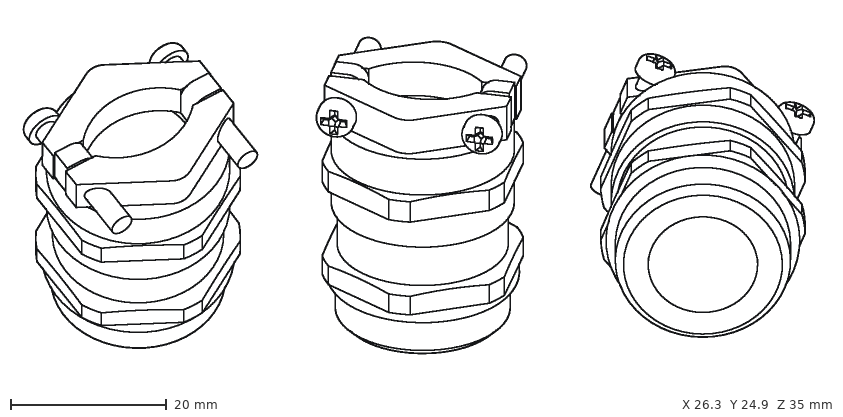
import cadquery as cq
import math

TOTAL_HEIGHT = 35.0
BORE_RADIUS = 7.05
HEX_HALF_ANGLE = math.radians(30)

ENTRY_RADIUS = 11.27
ENTRY_CHAMFER = 1.05
RING_BOTTOM = 5.42
RING_TUBE_RADIUS = 0.95
RING_OUTER_RADIUS = 12.45

NUT_CORNER_RADIUS = 13.15
NUT_ACROSS_FLATS = 24.08
NUT_TOP_ANGLE = 12.0
NECK_RADIUS = 11.02
CAP_RADIUS = 11.8
LOWER_NUT_BOTTOM = RING_BOTTOM + 2 * RING_TUBE_RADIUS
LOWER_NUT_TOP = 10.5
CAP_BOTTOM = 16.6
UPPER_NUT_BOTTOM = 21.0
UPPER_NUT_TOP = 24.3
CAP_TOP = 29.58

CLAMP_TOP = 34.5
CLAMP_HALF_WIDTH = 12.05
CLAMP_FLAT_HALF = 4.02
CLAMP_TIP_FILLET = 2.8
OPENING_HALF_X = 4.75
TAB_WIDTH = 2.95
TAB_INNER_Y = 7.45
TAB_OUTER_Y = CAP_RADIUS
TAB_ROUND = 2.1

SCREW_Y = 9.62
SCREW_Z = 32.05
SCREW_END_X = 11.1
SHANK_RADIUS = 1.5
HEAD_FACE_X = -9.05
HEAD_HEIGHT = 2.1
HEAD_RADIUS = 2.52
HEAD_ROUND = 1.0

ARM_HALF_LENGTH = 1.75
ARM_HALF_WIDTH = 0.52
ARM_DEPTH = 0.52
ARM_END_SLOPE = 0.35
SOCKET_DEPTH = 1.05
SOCKET_TOP_HALF = 1.15
SOCKET_FLOOR_HALF = 0.5


def cylinder(radius, bottom, top):
    return cq.Workplane("XY").workplane(offset=bottom).circle(radius).extrude(top - bottom)


def hex_collar(neck_radius, bottom, top):
    """Hexagon with rounded corners, its top sloping down from the neck as a cone."""
    drop = (NUT_CORNER_RADIUS - neck_radius) * math.tan(math.radians(NUT_TOP_ANGLE))
    cone = (
        cq.Workplane("XZ")
        .moveTo(0, bottom)
        .lineTo(NUT_CORNER_RADIUS, bottom)
        .lineTo(NUT_CORNER_RADIUS, top - drop)
        .lineTo(neck_radius, top)
        .lineTo(0, top)
        .close()
        .revolve(360, (0, 0, 0), (0, 1, 0))
    )
    corner_diameter = NUT_ACROSS_FLATS / math.cos(HEX_HALF_ANGLE)
    hexagon = (
        cq.Workplane("XY")
        .workplane(offset=bottom)
        .polygon(6, corner_diameter)
        .extrude(top - bottom)
    )
    return cone.intersect(hexagon)


def sealing_ring():
    centre = cq.Vector(0, 0, RING_BOTTOM + RING_TUBE_RADIUS)
    torus = cq.Solid.makeTorus(RING_OUTER_RADIUS - RING_TUBE_RADIUS, RING_TUBE_RADIUS, centre)
    return cq.Workplane("XY").newObject([torus])


def gland_body():
    entry = cylinder(ENTRY_RADIUS, 0, LOWER_NUT_BOTTOM).faces("<Z").chamfer(ENTRY_CHAMFER)
    return (
        entry.union(sealing_ring())
        .union(hex_collar(NECK_RADIUS, LOWER_NUT_BOTTOM, LOWER_NUT_TOP))
        .union(cylinder(NECK_RADIUS, LOWER_NUT_TOP, CAP_BOTTOM))
        .union(cylinder(CAP_RADIUS, CAP_BOTTOM, CAP_TOP))
        .union(hex_collar(CAP_RADIUS, UPPER_NUT_BOTTOM, UPPER_NUT_TOP))
        .cut(cylinder(BORE_RADIUS, 0, CAP_TOP))
    )


def clamp():
    """Hexagonal block with a lens-shaped opening and a gap at each end for the tabs."""
    tip_x = CLAMP_FLAT_HALF + CLAMP_HALF_WIDTH * math.tan(HEX_HALF_ANGLE)
    height = CLAMP_TOP - CAP_TOP
    base = cq.Workplane("XY").workplane(offset=CAP_TOP)
    block = (
        base.polyline([
            (tip_x, 0),
            (CLAMP_FLAT_HALF, CLAMP_HALF_WIDTH),
            (-CLAMP_FLAT_HALF, CLAMP_HALF_WIDTH),
            (-tip_x, 0),
            (-CLAMP_FLAT_HALF, -CLAMP_HALF_WIDTH),
            (CLAMP_FLAT_HALF, -CLAMP_HALF_WIDTH),
        ])
        .close()
        .extrude(height)
        .edges("|Z and (<X or >X)")
        .fillet(CLAMP_TIP_FILLET)
    )
    half_tab = TAB_WIDTH / 2
    opening = (
        base.moveTo(half_tab, -TAB_INNER_Y)
        .threePointArc((OPENING_HALF_X, 0), (half_tab, TAB_INNER_Y))
        .lineTo(-half_tab, TAB_INNER_Y)
        .threePointArc((-OPENING_HALF_X, 0), (-half_tab, -TAB_INNER_Y))
        .close()
        .extrude(height)
    )
    gap = base.rect(TAB_WIDTH, 2 * CLAMP_HALF_WIDTH).extrude(height)
    return block.cut(opening).cut(gap)


def tab(side):
    """Upright tab in the clamp gap, rounded over toward the opening; side is +1 or -1."""
    length = TAB_OUTER_Y - TAB_INNER_Y
    inner_top_edge = "|X and >Z and <Y" if side > 0 else "|X and >Z and >Y"
    return (
        cq.Workplane("XY")
        .box(TAB_WIDTH, length, TOTAL_HEIGHT - CAP_TOP, centered=(True, True, False))
        .edges(inner_top_edge)
        .fillet(TAB_ROUND)
        .translate((0, side * (TAB_INNER_Y + length / 2), CAP_TOP))
    )


def cross_recess():
    """Phillips recess sunk along +X from the origin."""
    arm = (
        cq.Workplane("XZ")
        .polyline([(0, -ARM_HALF_WIDTH), (ARM_DEPTH, 0), (0, ARM_HALF_WIDTH)])
        .close()
        .extrude(ARM_HALF_LENGTH, both=True)
    )
    ridge_half = ARM_HALF_LENGTH - ARM_END_SLOPE
    sloped_ends = (
        cq.Workplane("XY")
        .polyline([
            (0, -ARM_HALF_LENGTH),
            (ARM_DEPTH, -ridge_half),
            (ARM_DEPTH, ridge_half),
            (0, ARM_HALF_LENGTH),
        ])
        .close()
        .extrude(ARM_HALF_WIDTH, both=True)
    )
    arm = arm.intersect(sloped_ends)
    socket = (
        cq.Workplane("YZ")
        .polygon(4, 2 * SOCKET_TOP_HALF)
        .workplane(offset=SOCKET_DEPTH)
        .polygon(4, 2 * SOCKET_FLOOR_HALF)
        .loft()
    )
    return arm.union(arm.rotate((0, 0, 0), (1, 0, 0), 90)).union(socket)


def screw(side):
    """Pan-head screw through the clamp; side is +1 or -1."""
    head = (
        cq.Workplane("YZ")
        .circle(HEAD_RADIUS)
        .extrude(HEAD_HEIGHT)
        .faces("<X")
        .edges()
        .fillet(HEAD_ROUND)
        .cut(cross_recess())
    )
    shank_length = SCREW_END_X - HEAD_FACE_X - HEAD_HEIGHT
    shank = cq.Workplane("YZ").workplane(offset=HEAD_HEIGHT).circle(SHANK_RADIUS).extrude(shank_length)
    return head.union(shank).translate((HEAD_FACE_X, side * SCREW_Y, SCREW_Z))


result = gland_body().union(clamp())
for side in (1, -1):
    result = result.union(tab(side)).union(screw(side))